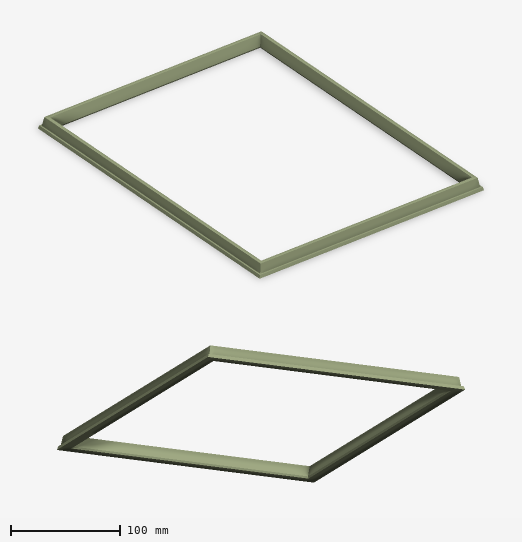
import math

import cadquery as cq

LENGTH = 334.67
WIDTH = 258.5
HEIGHT = 12.7

FOOT_HEIGHT = 3.28
TOP_OUTER_INSET = 4.2
TOP_INNER_INSET = 7.86

RELIEF_HEIGHT = 1.8
RELIEF_SETBACK = 0.8

FOOT_LEAN = 15
OUTER_WALL_LEAN = 10
INNER_WALL_LEAN = 15


def run_of_slope(rise, lean):
    """Horizontal distance covered by a face of the given rise and lean."""
    return rise * math.tan(math.radians(lean))


def tapered_block(bottom_inset, top_inset, bottom_z, top_z):
    """Rectangular block whose four sides slope from one inset to another."""
    return (
        cq.Workplane("XY", origin=(0, 0, bottom_z))
        .rect(LENGTH - 2 * bottom_inset, WIDTH - 2 * bottom_inset)
        .workplane(offset=top_z - bottom_z)
        .rect(LENGTH - 2 * top_inset, WIDTH - 2 * top_inset)
        .loft(ruled=True)
    )


def make_foot():
    """Sloping outer foot; its top forms the narrow ledge around the wall."""
    top_inset = run_of_slope(FOOT_HEIGHT, FOOT_LEAN)
    return tapered_block(0, top_inset, 0, FOOT_HEIGHT)


def make_wall():
    """Upper part of the rail, set back from the foot."""
    bottom_inset = TOP_OUTER_INSET - run_of_slope(HEIGHT - FOOT_HEIGHT, OUTER_WALL_LEAN)
    return tapered_block(bottom_inset, TOP_OUTER_INSET, FOOT_HEIGHT, HEIGHT)


def make_opening():
    """Through opening that narrows downward to a waist, then widens in the relief."""
    waist_inset = TOP_INNER_INSET + run_of_slope(HEIGHT - RELIEF_HEIGHT, INNER_WALL_LEAN)
    relief = tapered_block(waist_inset - RELIEF_SETBACK, waist_inset, 0, RELIEF_HEIGHT)
    slope = tapered_block(waist_inset, TOP_INNER_INSET, RELIEF_HEIGHT, HEIGHT)
    return relief.union(slope)


result = make_foot().union(make_wall()).cut(make_opening())